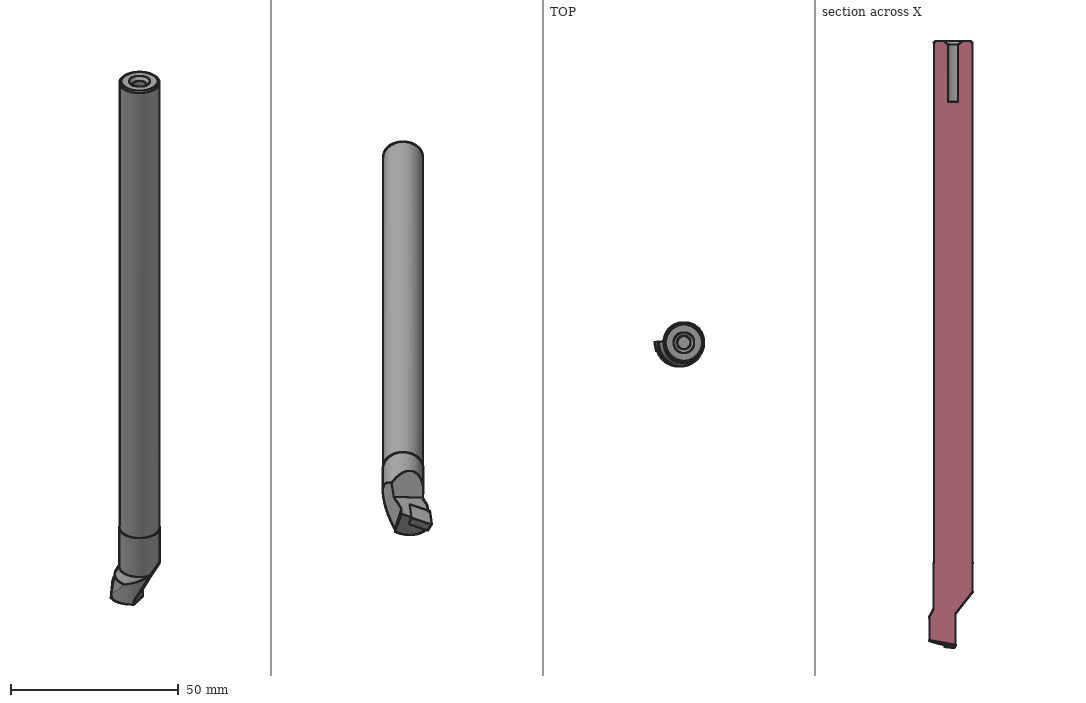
import cadquery as cq
import math

total_height = 181.2
shank_diameter = 12.0
shank_chamfer = 0.5
bore_diameter = 4.0
bore_depth = 18.1
bore_mouth_diameter = 6.2
bore_mouth_depth = (bore_mouth_diameter - bore_diameter) / 2

collar_diameter = 12.1
collar_top = 25.4
flare_top = 11.8
flare_bottom = 9.0
flare_radius = 7.5
head_bottom_radius = 8.7

trim_radius = 7.16
trim_shift = 1.3

tip_x = -8.9
tip_y = 0.2
lead_angle = 5.0
insert_edge = 6.5
insert_thickness = 2.7
insert_relief = 7.0
insert_nose_radius = 0.4
face_tilt = 5.0

gullet_height = 8.5
gullet_slope_x = -0.53
gullet_slope_y = 1.27
end_gap = 0.4
end_slope_x = 0.09
end_slope_y = -0.18
back_x = 0.7
back_corner_z = 3.6
back_angle = 27.0

cutter_size = 108.8

lead = math.radians(lead_angle)
half_tip_angle = math.radians(90 - 2 * lead_angle) / 2
nose_centre = insert_nose_radius / math.sin(half_tip_angle) * math.cos(lead + half_tip_angle)
nose_rise = nose_centre - insert_nose_radius

tilt = math.radians(face_tilt)
face_normal = cq.Vector(-math.sin(tilt), math.cos(tilt), 0)
rake_plane = cq.Plane(origin=(tip_x, tip_y, -nose_rise), xDir=(0, 0, 1), normal=face_normal)


def half_space(plane):
    """A large block on the normal side of a plane."""
    return cq.Workplane(plane).rect(cutter_size, cutter_size).extrude(cutter_size)


def below_slope(height, slope_x, slope_y):
    """Everything below z = height + slope_x * x + slope_y * y."""
    return half_space(cq.Plane(origin=(0, 0, height), xDir=(1, 0, slope_x), normal=(slope_x, slope_y, -1)))


def make_insert():
    along = insert_edge * math.cos(lead)
    across = insert_edge * math.sin(lead)
    corners = [(0, 0), (along, across), (along + across, along + across), (across, along), (0, 0)]
    outline = cq.Sketch().polygon(corners).vertices().fillet(insert_nose_radius)
    return cq.Workplane(rake_plane).placeSketch(outline).extrude(-insert_thickness, taper=insert_relief)


def make_shank():
    rod = (
        cq.Workplane("XY", origin=(0, 0, collar_top))
        .circle(shank_diameter / 2)
        .extrude(total_height - collar_top)
        .faces(">Z")
        .chamfer(shank_chamfer)
    )
    bore = (
        cq.Workplane("XY", origin=(0, 0, total_height))
        .circle(bore_diameter / 2)
        .extrude(-bore_depth)
    )
    mouth = cq.Workplane(
        cq.Solid.makeCone(
            bore_diameter / 2,
            bore_mouth_diameter / 2,
            bore_mouth_depth,
            pnt=cq.Vector(0, 0, total_height - bore_mouth_depth),
        )
    )
    return rod.cut(bore).cut(mouth)


def make_head():
    collar = (
        cq.Workplane("XY", origin=(0, 0, flare_top))
        .circle(collar_diameter / 2)
        .extrude(collar_top - flare_top)
    )
    flare = (
        cq.Workplane("XZ")
        .moveTo(0, 0)
        .lineTo(head_bottom_radius, 0)
        .lineTo(flare_radius, flare_bottom)
        .lineTo(collar_diameter / 2, flare_top)
        .lineTo(0, flare_top)
        .close()
        .revolve(360, (0, 0), (0, 1))
    )
    trim = cq.Workplane("XY").center(-trim_shift, 0).circle(trim_radius).extrude(flare_top)
    return collar.union(flare.intersect(trim))


def make_gullet():
    """Open space in front of the rake plane, under a sloping wall."""
    return half_space(rake_plane).intersect(below_slope(gullet_height, gullet_slope_x, gullet_slope_y))


def make_end_clearance():
    """Sloping space under the head, rising away from the tip."""
    height_at_axis = end_gap - end_slope_x * tip_x
    return below_slope(height_at_axis, end_slope_x, end_slope_y)


def make_back_clearance():
    """Space behind the head: upright at the end, then leaning out to the collar."""
    reach = collar_diameter
    lean_height = reach / math.tan(math.radians(back_angle))
    return (
        cq.Workplane("XZ")
        .moveTo(back_x, 0)
        .lineTo(back_x, back_corner_z)
        .lineTo(back_x + reach, back_corner_z + lean_height)
        .lineTo(back_x + reach, 0)
        .close()
        .extrude(cutter_size / 2, both=True)
    )


insert = make_insert()

bar = make_shank().union(make_head())
for clearance in (make_gullet(), make_end_clearance(), make_back_clearance()):
    bar = bar.cut(clearance)
bar = bar.cut(insert)

result = cq.Compound.makeCompound([bar.solids().val(), insert.val()])